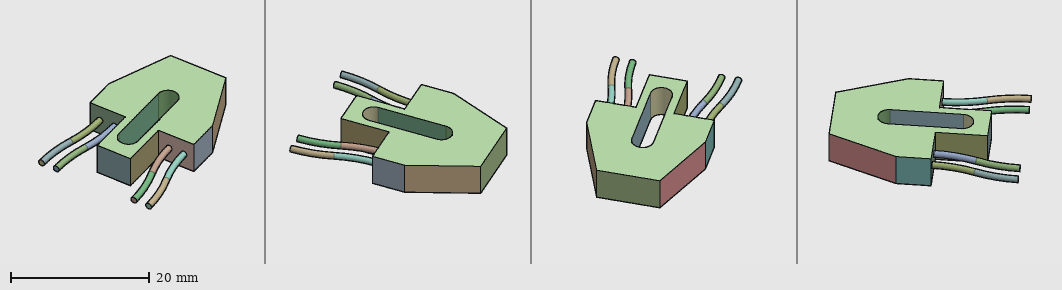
import cadquery as cq

total_length = 27.95
thickness = 5.09
body_width = 17.75
nose_width = 9.45
stem_width = 5.67
taper_y = 17.77
shoulder_y = 12.68
stem_end_y = 5.09

slot_width = 3.2
slot_start_y = 7.43
slot_end_y = 21.32

overall_width = 19.3
wire_diameter = 1.0
wire_spacing = 2.51
wire_shift = 1.98
outer_wire_end_x = (overall_width - wire_diameter) / 2


def make_plate():
    right_side = [
        (stem_width / 2, stem_end_y),
        (stem_width / 2, shoulder_y),
        (body_width / 2, shoulder_y),
        (body_width / 2, taper_y),
        (nose_width / 2, total_length),
    ]
    left_side = [(-x, y) for x, y in reversed(right_side)]
    plate = cq.Workplane("XY").polyline(right_side + left_side).close()
    return plate.extrude(thickness / 2, both=True)


def make_slot():
    slot = cq.Workplane("XY").center(0, (slot_start_y + slot_end_y) / 2)
    slot = slot.slot2D(slot_end_y - slot_start_y, slot_width, 90)
    return slot.extrude(thickness, both=True)


def make_wire(end_x, side):
    """Wire ending at distance end_x from the centre plane; side is +1 or -1."""
    start = (side * (end_x - wire_shift), shoulder_y)
    middle = (side * (end_x - wire_shift / 2), shoulder_y / 2)
    end = (side * end_x, 0)
    bend_radius = ((shoulder_y / 2) ** 2 + (wire_shift / 2) ** 2) / wire_shift
    path = (
        cq.Workplane("XY")
        .moveTo(*start)
        .radiusArc(middle, -side * bend_radius)
        .radiusArc(end, side * bend_radius)
    )
    section = cq.Workplane("XZ", origin=(start[0], shoulder_y, 0)).circle(wire_diameter / 2)
    return section.sweep(path)


result = make_plate().cut(make_slot())
for side in (-1, 1):
    for end_x in (outer_wire_end_x, outer_wire_end_x - wire_spacing):
        result = result.union(make_wire(end_x, side))